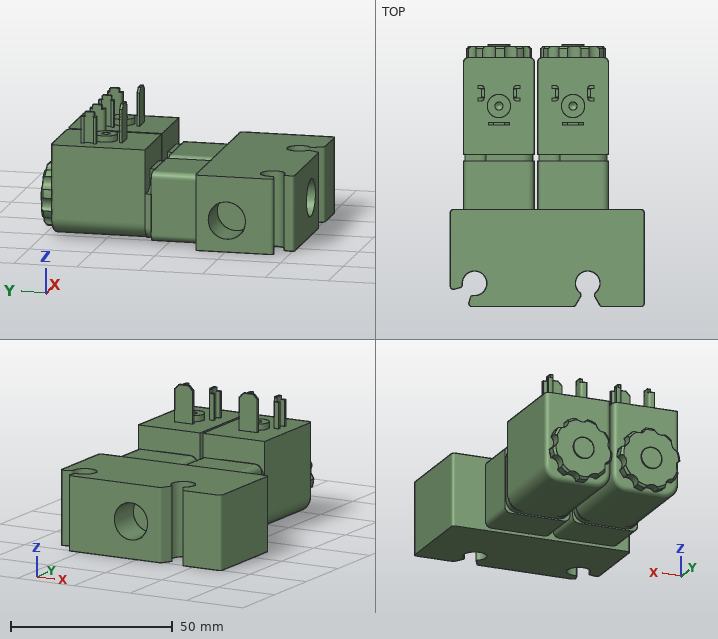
import cadquery as cq
import math

block_length = 60.0
block_depth = 30.05
block_height = 24.0
block_edge_radius = 1.0
port_diameter = 11.8
port_depth = 12.0
port_z = block_height / 2
front_port_x = 28.0
side_port_y = 20.0
side_port_z = 10.05

slot_diameter = 7.5
slot_y = 7.2
corner_slot_x = 7.5
front_slot_x = 42.5
corner_slot_turn = 45
mouth_half_width = 4.0
mouth_flare_angle = 30

valve_centers_x = (15.1, 38.0)
valve_width = 21.95
axis_z = block_height / 2

actuator_length = 15.0
actuator_radius = 2.0

neck_length = 2.0
neck_width = 21.1
neck_radius = 3.6
neck_notch_size = 6.6
neck_notch_radius = 3.0

coil_length = 30.0
coil_bottom_z = 1.45
coil_top_z = 30.05
coil_bottom_radius = 5.0
coil_rear_radius = 1.45

knob_diameter = 20.0
knob_length = 3.5
knob_chamfer = 0.7
flute_count = 9
flute_diameter = 5.0
flute_half_angle = 12.3
first_ridge_angle = 2
knob_turn_between_valves = 20
hub_diameter = 6.9

boss_diameter = 7.2
boss_height = 1.95
boss_y = 62.05
screw_hole_diameter = 2.5
screw_hole_depth = 6.0
drill_point_angle = 118

ground_blade_width = 6.4
ground_blade_thickness = 0.8
ground_blade_y = 56.5
ground_blade_chamfer = 1.45
part_height = 42.0

contact_y = 66.0
contact_span = 4.8
contact_reach = 1.95
contact_thickness = 0.9
contact_outer_radius = 1.0
contact_inner_radius = 0.3
contact_offset = 6.5
contact_arm_height = 8.4
contact_tip_height = 1.4
contact_tip_chamfer = 0.25

part_depth = 81
neck_y = block_depth + actuator_length
coil_y = neck_y + neck_length
knob_y = coil_y + coil_length
hub_length = part_depth - knob_y


def box(x_range, y_range, z_range):
    """Box spanning the given X, Y and Z ranges."""
    spans = [end - start for start, end in (x_range, y_range, z_range)]
    corner = (x_range[0], y_range[0], z_range[0])
    return cq.Workplane("XY").box(*spans, centered=False).translate(corner)


def rearward_plane(x, y):
    """Sketch plane on the valve axis, extruding toward +Y with local x along +X and local y along -Z."""
    return cq.Workplane(cq.Plane((x, y, axis_z), (1, 0, 0), (0, 1, 0)))


def keyhole_cutter(x, turn):
    """Seat and flared mouth opening toward -Y, turned clockwise about the seat by the given degrees."""
    slope = math.tan(math.radians(mouth_flare_angle))
    mouth_end = 2 * slot_y
    end_half_width = mouth_half_width + slope * (mouth_end - slot_y)
    apex = slot_y - mouth_half_width / slope
    mouth = (
        cq.Workplane("XY")
        .polyline([(0, -apex), (end_half_width, -mouth_end), (-end_half_width, -mouth_end)])
        .close()
        .extrude(block_height)
    )
    seat = cq.Workplane("XY").circle(slot_diameter / 2).extrude(block_height)
    cutter = seat.union(mouth).rotate((0, 0, 0), (0, 0, 1), -turn)
    return cutter.translate((x, slot_y, 0))


def make_block():
    block = cq.Workplane("XY").box(block_length, block_depth, block_height, centered=False)
    block = block.cut(keyhole_cutter(corner_slot_x, corner_slot_turn)).cut(keyhole_cutter(front_slot_x, 0))
    block = block.edges("|Z").fillet(block_edge_radius)
    front_port = cq.Solid.makeCylinder(
        port_diameter / 2, port_depth, cq.Vector(front_port_x, 0, port_z), cq.Vector(0, 1, 0)
    )
    side_port = cq.Solid.makeCylinder(
        port_diameter / 2, port_depth, cq.Vector(0, side_port_y, side_port_z), cq.Vector(1, 0, 0)
    )
    return block.cut(front_port).cut(side_port)


def make_actuator(x):
    body = rearward_plane(x, block_depth).rect(valve_width, valve_width).extrude(actuator_length)
    return body.edges("|Y").fillet(actuator_radius)


def make_neck(x):
    """Rounded square collar with a notch in its upper left corner."""
    half = neck_width / 2
    neck = rearward_plane(x, neck_y).rect(neck_width, neck_width).extrude(neck_length)
    neck = neck.edges("|Y").fillet(neck_radius)
    left = x - half
    top = axis_z + half
    notch = box(
        (left, left + neck_notch_size), (neck_y, coil_y), (top - neck_notch_size, top)
    )
    notch = notch.edges("|Y and >X and <Z").fillet(neck_notch_radius)
    return neck.cut(notch)


def make_coil(x):
    half = valve_width / 2
    coil = box((x - half, x + half), (coil_y, knob_y), (coil_bottom_z, coil_top_z))
    coil = coil.edges("|Y and <Z").fillet(coil_bottom_radius)
    return coil.faces(">Y").edges("not >Z").fillet(coil_rear_radius)


def make_knob(x, ridge_angle):
    """Fluted nut with a small round hub; the ridge angle is measured from +Z toward +X."""
    radius = knob_diameter / 2
    flute_radius = flute_diameter / 2
    half_angle = math.radians(flute_half_angle)
    half_chord = radius * math.sin(half_angle)
    flute_center = radius * math.cos(half_angle) + math.sqrt(flute_radius**2 - half_chord**2)
    first_flute_angle = ridge_angle + 180 / flute_count - 90
    knob = rearward_plane(x, knob_y).circle(radius).extrude(knob_length)
    knob = knob.faces(">Y").chamfer(knob_chamfer)
    flutes = (
        rearward_plane(x, knob_y)
        .polarArray(flute_center, first_flute_angle, 360, flute_count)
        .circle(flute_radius)
        .extrude(knob_length)
    )
    hub = rearward_plane(x, knob_y).circle(hub_diameter / 2).extrude(hub_length)
    return knob.cut(flutes).union(hub)


def make_screw_boss(x):
    return (
        cq.Workplane("XY", (x, boss_y, coil_top_z)).circle(boss_diameter / 2).extrude(boss_height)
    )


def screw_hole_cutter(x):
    """Blind drilled hole with a conical end."""
    radius = screw_hole_diameter / 2
    point_length = radius / math.tan(math.radians(drill_point_angle / 2))
    return (
        cq.Workplane("XZ")
        .polyline([
            (0, 0),
            (radius, 0),
            (radius, -screw_hole_depth),
            (0, -screw_hole_depth - point_length),
        ])
        .close()
        .revolve(360, (0, 0), (0, 1))
        .translate((x, boss_y, coil_top_z + boss_height))
    )


def make_ground_blade(x):
    half_width = ground_blade_width / 2
    half_thickness = ground_blade_thickness / 2
    blade = box(
        (x - half_width, x + half_width),
        (ground_blade_y - half_thickness, ground_blade_y + half_thickness),
        (coil_top_z, part_height),
    )
    return blade.edges("|Y and >Z").chamfer(ground_blade_chamfer)


def make_contact(x, side):
    """Channel contact whose arms point away from the valve axis; side is -1 or +1 along X."""
    half_span = contact_span / 2
    half_gap = half_span - contact_thickness
    outer = box((0, contact_reach), (-half_span, half_span), (0, contact_arm_height))
    outer = outer.edges("|Z and <X").fillet(contact_outer_radius)
    gap = box((contact_thickness, contact_reach), (-half_gap, half_gap), (0, contact_arm_height))
    gap = gap.edges("|Z and <X").fillet(contact_inner_radius)
    tip_top = contact_arm_height + contact_tip_height
    tip = box((0, contact_thickness), (-half_gap, half_gap), (contact_arm_height, tip_top))
    tip = tip.edges("|X and >Z").chamfer(contact_tip_chamfer)
    contact = outer.cut(gap).union(tip)
    if side < 0:
        contact = contact.mirror("YZ")
    spine_x = x + side * (contact_offset - contact_reach)
    return contact.translate((spine_x, contact_y, coil_top_z))


def make_valve(x, ridge_angle):
    valve = make_actuator(x).union(make_neck(x)).union(make_coil(x))
    valve = valve.union(make_knob(x, ridge_angle))
    valve = valve.union(make_screw_boss(x)).cut(screw_hole_cutter(x))
    valve = valve.union(make_ground_blade(x))
    for side in (-1, 1):
        valve = valve.union(make_contact(x, side))
    return valve


result = make_block()
for index, center_x in enumerate(valve_centers_x):
    knob_angle = first_ridge_angle + index * knob_turn_between_valves
    result = result.union(make_valve(center_x, knob_angle))